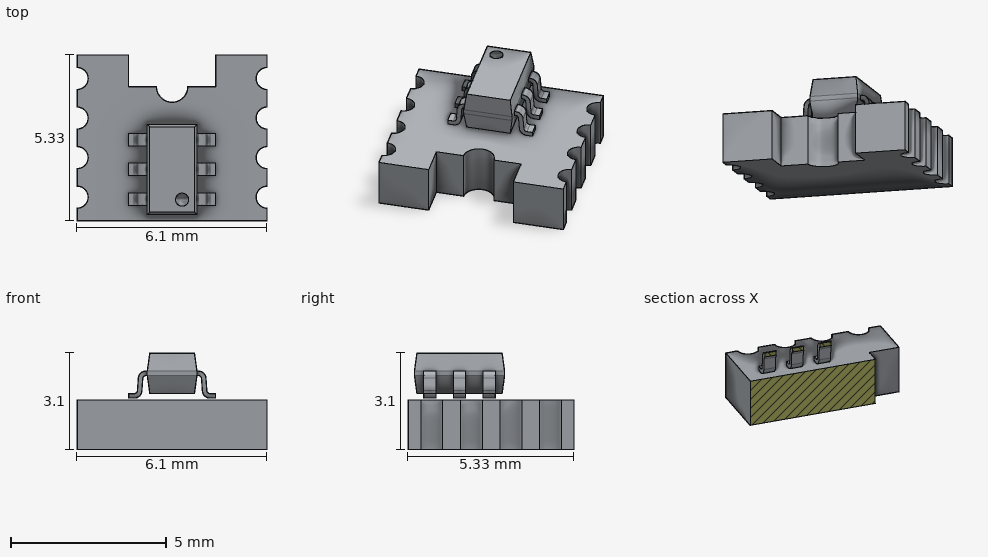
import cadquery as cq
import math

BOARD_LENGTH_X = 6.1
BOARD_LENGTH_Y = 5.33
BOARD_THICKNESS = 1.6
CASTELLATION_RADIUS = 0.35
CASTELLATION_PITCH = 1.27
CASTELLATIONS_PER_SIDE = 4
NOTCH_WIDTH = 2.8
NOTCH_DEPTH = 1.02
NOTCH_RELIEF_RADIUS = 0.5

CHIP_CENTER_Y = -1.015
CHIP_WIDTH = 1.6
CHIP_LENGTH = 2.9
CHIP_HEIGHT = 1.3
CHIP_TAPER = 0.08
CHIP_TOP = 3.1
CHIP_MID = CHIP_TOP - CHIP_HEIGHT / 2
DIMPLE_RADIUS = 0.21
DIMPLE_EDGE_DISTANCE = 0.4

LEAD_THICKNESS = 0.15
LEAD_WIDTH = 0.4
LEAD_PITCH = 0.95
LEADS_PER_SIDE = 3
LEAD_SPAN = 2.8
LEAD_BOARD_GAP = 0.05
LEAD_STRAIGHT = 0.04
LEG_LEAN = math.radians(4)
BEND_INNER_RADIUS = 0.1
BEND_OUTER_RADIUS = BEND_INNER_RADIUS + LEAD_THICKNESS


def centered_positions(count, pitch, center=0):
    """Evenly spaced positions, symmetric about the center."""
    return [center + (i - (count - 1) / 2) * pitch for i in range(count)]


def make_board():
    """Flat board with half-round castellations on both sides and a notch in the +Y edge."""
    board = cq.Workplane("XY").box(
        BOARD_LENGTH_X, BOARD_LENGTH_Y, BOARD_THICKNESS, centered=(True, True, False)
    )
    castellation_centers = [
        (side * BOARD_LENGTH_X / 2, y)
        for side in (-1, 1)
        for y in centered_positions(CASTELLATIONS_PER_SIDE, CASTELLATION_PITCH)
    ]
    castellations = (
        cq.Workplane("XY")
        .pushPoints(castellation_centers)
        .circle(CASTELLATION_RADIUS)
        .extrude(BOARD_THICKNESS)
    )
    notch_floor_y = BOARD_LENGTH_Y / 2 - NOTCH_DEPTH
    notch = (
        cq.Workplane("XY")
        .center(0, notch_floor_y + NOTCH_DEPTH / 2)
        .rect(NOTCH_WIDTH, NOTCH_DEPTH)
        .extrude(BOARD_THICKNESS)
    )
    notch_relief = (
        cq.Workplane("XY")
        .center(0, notch_floor_y)
        .circle(NOTCH_RELIEF_RADIUS)
        .extrude(BOARD_THICKNESS)
    )
    return board.cut(castellations).cut(notch).cut(notch_relief)


def make_package():
    """Molded package: a straight middle band with a tapered half above and below it."""
    band_half = LEAD_THICKNESS / 2
    taper_height = CHIP_HEIGHT / 2 - band_half
    taper_angle = math.degrees(math.atan(CHIP_TAPER / taper_height))
    band = cq.Workplane("XY").box(CHIP_WIDTH, CHIP_LENGTH, LEAD_THICKNESS)
    upper_half = (
        cq.Workplane("XY")
        .workplane(offset=band_half)
        .rect(CHIP_WIDTH, CHIP_LENGTH)
        .extrude(taper_height, taper=taper_angle)
    )
    lower_half = upper_half.mirror("XY")
    package = band.union(upper_half).union(lower_half)
    return package.translate((0, CHIP_CENTER_Y, CHIP_MID))


def make_dimple():
    """Ball that marks the first lead, centered on the top face of the package."""
    x = CHIP_WIDTH / 2 - CHIP_TAPER - DIMPLE_EDGE_DISTANCE
    y = CHIP_CENTER_Y - CHIP_LENGTH / 2 + CHIP_TAPER + DIMPLE_EDGE_DISTANCE
    return cq.Workplane("XY").sphere(DIMPLE_RADIUS).translate((x, y, CHIP_TOP))


def make_lead(y):
    """One gull-wing lead on the +X side, reaching into the package up to its center."""
    lead_top = CHIP_MID + LEAD_THICKNESS / 2
    foot_bottom = BOARD_THICKNESS + LEAD_BOARD_GAP
    foot_end = LEAD_SPAN / 2

    upper_x = CHIP_WIDTH / 2 + LEAD_STRAIGHT
    upper_z = lead_top - BEND_OUTER_RADIUS
    lower_z = foot_bottom + BEND_OUTER_RADIUS
    drop = upper_z - lower_z
    reach = BEND_INNER_RADIUS + BEND_OUTER_RADIUS + drop * math.sin(LEG_LEAN)
    lower_x = upper_x + reach / math.cos(LEG_LEAN)
    bend_middle = (LEG_LEAN + math.pi / 2) / 2

    def on_upper_bend(radius, angle):
        return (upper_x + radius * math.cos(angle), upper_z + radius * math.sin(angle))

    def on_lower_bend(radius, angle):
        return (lower_x - radius * math.cos(angle), lower_z - radius * math.sin(angle))

    profile = (
        cq.Workplane("XZ", origin=(0, y + LEAD_WIDTH / 2, 0))
        .moveTo(0, lead_top)
        .lineTo(upper_x, lead_top)
        .threePointArc(
            on_upper_bend(BEND_OUTER_RADIUS, bend_middle), on_upper_bend(BEND_OUTER_RADIUS, LEG_LEAN)
        )
        .lineTo(*on_lower_bend(BEND_INNER_RADIUS, LEG_LEAN))
        .threePointArc(
            on_lower_bend(BEND_INNER_RADIUS, bend_middle), (lower_x, foot_bottom + LEAD_THICKNESS)
        )
        .lineTo(foot_end, foot_bottom + LEAD_THICKNESS)
        .lineTo(foot_end, foot_bottom)
        .lineTo(lower_x, foot_bottom)
        .threePointArc(
            on_lower_bend(BEND_OUTER_RADIUS, bend_middle), on_lower_bend(BEND_OUTER_RADIUS, LEG_LEAN)
        )
        .lineTo(*on_upper_bend(BEND_INNER_RADIUS, LEG_LEAN))
        .threePointArc(
            on_upper_bend(BEND_INNER_RADIUS, bend_middle), (upper_x, lead_top - LEAD_THICKNESS)
        )
        .lineTo(0, lead_top - LEAD_THICKNESS)
        .close()
    )
    return profile.extrude(LEAD_WIDTH)


def make_chip():
    """Package and its two rows of leads as one solid."""
    chip = make_package()
    for y in centered_positions(LEADS_PER_SIDE, LEAD_PITCH, CHIP_CENTER_Y):
        lead = make_lead(y)
        chip = chip.union(lead).union(lead.mirror("YZ"))
    return chip.cut(make_dimple())


board = make_board()
chip = make_chip()

result = cq.Compound.makeCompound([board.val(), chip.val()])